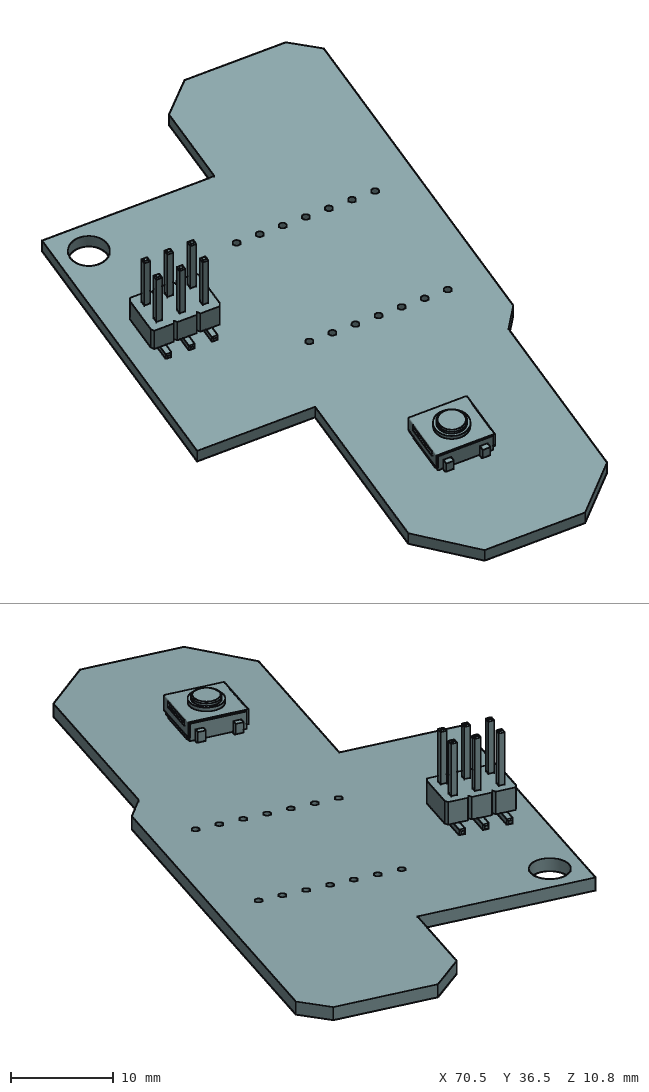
import cadquery as cq

BOARD_LENGTH = 70.5
BOARD_WIDTH = 36.5
BOARD_THICKNESS = 1.5
FRONT_TAB_LEFT = 13.0
FRONT_TAB_RIGHT = 45.5
LEFT_WING_FRONT = 18.95
RIGHT_WING_FRONT = 13.0
RIGHT_WING_BACK = 34.6
BACK_STEP_START = 42.15
BACK_STEP_END = 44.8
LEFT_FRONT_CORNER = (3.45, 3.5)
LEFT_BACK_CORNER = (2.5, 2.9)
RIGHT_FRONT_CORNER = (5.5, 5.5)
RIGHT_BACK_CORNER = (5.1, 5.1)

PITCH = 2.55
MOUNTING_HOLE_DIAMETER = 4.1
MOUNTING_HOLE_X = 16.35
MOUNTING_HOLE_Y = 3.4
VIA_DIAMETER = 0.8
VIAS_PER_ROW = 7
VIA_ROW_X = 22.1
VIA_ROW_SPACING = 6 * PITCH
VIA_FIRST_Y = 16.65

HEADER_X = 29.4
HEADER_Y = 6.0
HEADER_ROWS = 3
HOUSING_BOTTOM = 2.3
HOUSING_HEIGHT = PITCH
HOUSING_LENGTH_X = 2 * PITCH
HOUSING_CORNER = (0.35, 0.2)
PIN_SIZE = 0.6
PIN_TOP = 10.85
PIN_TIP_CHAMFER = 0.15
PIN_BEND_RADIUS = 0.5
FOOT_REACH = 3.7

BUTTON_X = 56.0
BUTTON_Y = 22.5
BUTTON_TOP = 3.8
COVER_LENGTH_X = 5.85
COVER_WIDTH_Y = 6.5
COVER_BOTTOM = 2.1
SHEET = 0.2
BEND_RADIUS = 0.15
BASE_INSET = 0.035
BASE_RELIEF_LENGTH = 0.55
BASE_RELIEF_HEIGHT = 0.15
WINDOW_LENGTH = 4.0
WINDOW_BOTTOM = 2.95
LEG_SPAN = 7.0
LEG_WIDTH = 0.85
LEG_HEIGHT = 1.35
LEG_SPACING = 4.0
LEG_BEND_RADIUS = 0.35
COLLAR_DIAMETER = 3.7
COLLAR_TOP = 4.2
PLUNGER_DIAMETER = 3.0
PLUNGER_TOP = 4.65
PLUNGER_EDGE_CHAMFER = 0.15


def block(length, width, bottom, top, x=0.0, y=0.0):
    """Box centred on (x, y) that stands between two heights."""
    box = cq.Workplane("XY").box(length, width, top - bottom, centered=(True, True, False))
    return box.translate((x, y, bottom))


def make_board():
    outline = [
        (FRONT_TAB_LEFT, 0),
        (FRONT_TAB_RIGHT, 0),
        (FRONT_TAB_RIGHT, RIGHT_WING_FRONT),
        (BOARD_LENGTH - RIGHT_FRONT_CORNER[0], RIGHT_WING_FRONT),
        (BOARD_LENGTH, RIGHT_WING_FRONT + RIGHT_FRONT_CORNER[1]),
        (BOARD_LENGTH, RIGHT_WING_BACK - RIGHT_BACK_CORNER[1]),
        (BOARD_LENGTH - RIGHT_BACK_CORNER[0], RIGHT_WING_BACK),
        (BACK_STEP_END, RIGHT_WING_BACK),
        (BACK_STEP_START, BOARD_WIDTH),
        (LEFT_BACK_CORNER[0], BOARD_WIDTH),
        (0, BOARD_WIDTH - LEFT_BACK_CORNER[1]),
        (0, LEFT_WING_FRONT + LEFT_FRONT_CORNER[1]),
        (LEFT_FRONT_CORNER[0], LEFT_WING_FRONT),
        (FRONT_TAB_LEFT, LEFT_WING_FRONT),
    ]
    via_centres = [
        (VIA_ROW_X + column * VIA_ROW_SPACING, VIA_FIRST_Y + row * PITCH)
        for column in range(2)
        for row in range(VIAS_PER_ROW)
    ]
    board = cq.Workplane("XY").polyline(outline).close().extrude(BOARD_THICKNESS)
    mounting_hole = (
        cq.Workplane("XY")
        .center(MOUNTING_HOLE_X, MOUNTING_HOLE_Y)
        .circle(MOUNTING_HOLE_DIAMETER / 2)
        .extrude(BOARD_THICKNESS)
    )
    vias = cq.Workplane("XY").pushPoints(via_centres).circle(VIA_DIAMETER / 2).extrude(BOARD_THICKNESS)
    return board.cut(mounting_hole).cut(vias)


def header_row_positions():
    first_y = HEADER_Y - PITCH * (HEADER_ROWS - 1) / 2
    return [first_y + row * PITCH for row in range(HEADER_ROWS)]


def make_housing_cell():
    """Eight-sided block for one pair of pins, centred on the origin and standing on Z = 0."""
    end_x = HOUSING_LENGTH_X / 2
    side_y = PITCH / 2
    flat_x = end_x - HOUSING_CORNER[0]
    flat_y = side_y - HOUSING_CORNER[1]
    outline = [
        (flat_x, -side_y),
        (end_x, -flat_y),
        (end_x, flat_y),
        (flat_x, side_y),
        (-flat_x, side_y),
        (-end_x, flat_y),
        (-end_x, -flat_y),
        (-flat_x, -side_y),
    ]
    return cq.Workplane("XY").polyline(outline).close().extrude(HOUSING_HEIGHT)


def make_housing():
    """Row of joined cells with cut corners; a square hole passes through it for each pin."""
    top = HOUSING_BOTTOM + HOUSING_HEIGHT
    housing = None
    for y in header_row_positions():
        cell = make_housing_cell().translate((HEADER_X, y, HOUSING_BOTTOM))
        housing = cell if housing is None else housing.union(cell)
    for y in header_row_positions():
        for side in (-1, 1):
            hole_x = HEADER_X + side * PITCH / 2
            housing = housing.cut(block(PIN_SIZE, PIN_SIZE, HOUSING_BOTTOM, top, hole_x, y))
    return housing


def make_pin(side, y):
    """Square pin with a foot bent outwards along the board, to the left (-1) or right (1)."""
    post = block(PIN_SIZE, PIN_SIZE, BOARD_THICKNESS, PIN_TOP, PITCH / 2)
    post = post.faces(">Z").chamfer(PIN_TIP_CHAMFER)
    foot_start = PITCH / 2 - PIN_SIZE / 2
    foot = block(
        FOOT_REACH - foot_start,
        PIN_SIZE,
        BOARD_THICKNESS,
        BOARD_THICKNESS + PIN_SIZE,
        (FOOT_REACH + foot_start) / 2,
    )
    foot = foot.faces(">X").chamfer(PIN_TIP_CHAMFER)
    pin = post.union(foot).edges("|Y and <X and <Z").fillet(PIN_BEND_RADIUS)
    if side < 0:
        pin = pin.mirror("YZ")
    return pin.translate((HEADER_X, y, 0))


def make_button():
    """Push button: base, folded sheet cover, four legs and a stepped round plunger."""
    base_length = COVER_LENGTH_X - 2 * BASE_INSET
    base_width = COVER_WIDTH_Y - 2 * SHEET
    cover_underside = BUTTON_TOP - SHEET

    base = block(base_length, base_width, BOARD_THICKNESS, cover_underside)
    relief_top = BOARD_THICKNESS + BASE_RELIEF_HEIGHT
    for side in (-1, 1):
        relief_x = side * (base_length - BASE_RELIEF_LENGTH) / 2
        base = base.cut(block(BASE_RELIEF_LENGTH, base_width, BOARD_THICKNESS, relief_top, relief_x))

    cover = block(COVER_LENGTH_X, COVER_WIDTH_Y, COVER_BOTTOM, BUTTON_TOP)
    cover = cover.edges("|X and >Z").fillet(BEND_RADIUS)
    cover = cover.cut(block(COVER_LENGTH_X, base_width, COVER_BOTTOM, cover_underside))
    cover = cover.cut(block(WINDOW_LENGTH, COVER_WIDTH_Y, WINDOW_BOTTOM, cover_underside))

    button = base.union(cover)

    leg_length = (LEG_SPAN - base_length) / 2 + BASE_RELIEF_LENGTH
    leg_top = BOARD_THICKNESS + LEG_HEIGHT
    for side in (-1, 1):
        for leg_y in (-LEG_SPACING / 2, LEG_SPACING / 2):
            leg_x = side * (LEG_SPAN - leg_length) / 2
            leg = block(leg_length, LEG_WIDTH, BOARD_THICKNESS, leg_top, leg_x, leg_y)
            outer_face = ">X" if side > 0 else "<X"
            leg = leg.faces(outer_face).edges("<Z").fillet(LEG_BEND_RADIUS)
            button = button.union(leg)

    collar = cq.Workplane("XY", origin=(0, 0, cover_underside))
    collar = collar.circle(COLLAR_DIAMETER / 2).extrude(COLLAR_TOP - cover_underside)
    plunger = cq.Workplane("XY", origin=(0, 0, cover_underside))
    plunger = plunger.circle(PLUNGER_DIAMETER / 2).extrude(PLUNGER_TOP - cover_underside)
    plunger = plunger.faces(">Z").chamfer(PLUNGER_EDGE_CHAMFER)
    button = button.union(collar).union(plunger)
    return button.translate((BUTTON_X, BUTTON_Y, 0))


board = make_board()
housing = make_housing()
pins = [make_pin(side, y) for side in (-1, 1) for y in header_row_positions()]
button = make_button()

result = cq.Compound.makeCompound(
    [board.val(), housing.val(), *[pin.val() for pin in pins], button.val()]
)